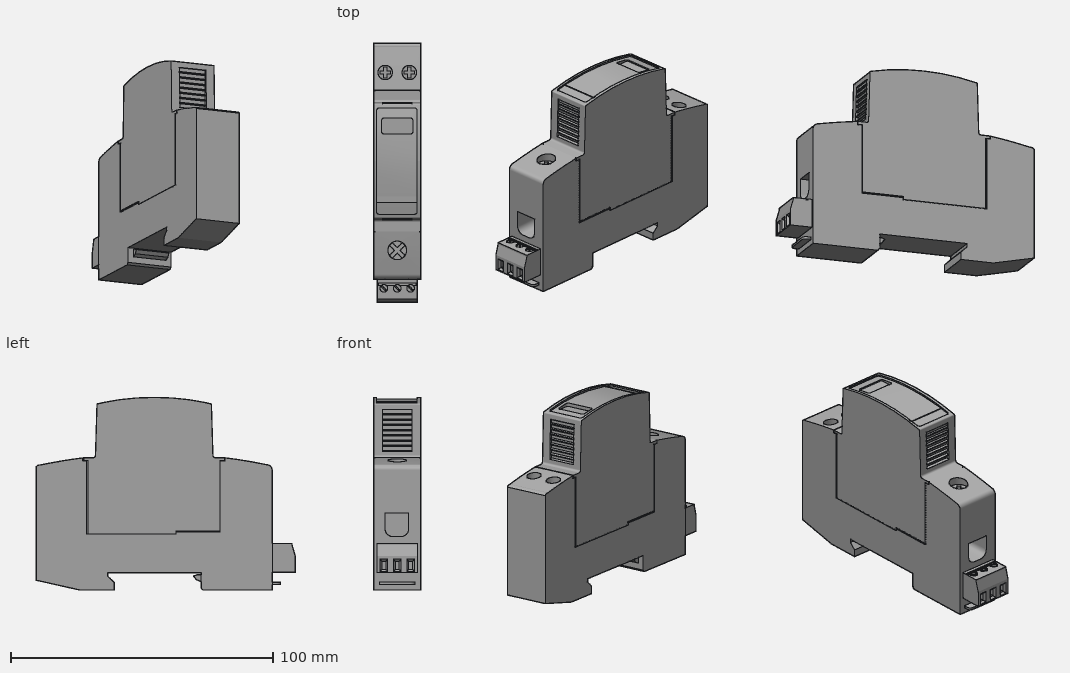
import cadquery as cq
import math

width = 18.0
half_depth = 45.0
total_height = 73.51

shoulder_radius = 215.0
shoulder_inner_y = 26.9
shoulder_inner_z = 50.5
front_edge_radius = 2.1
rear_edge_depth = 1.6
rear_edge_z = 47.05
rear_edge_mid = (44.36, 47.6)

cutter_overrun = 1.0

tower_foot_y = 22.45
tower_top_y = 21.85
tower_edge_z = 71.0
tower_foot_fillet = 0.9
tower_edge_fillet = 0.6
crown_radius = 100.0

rail_front_y = -17.85
rail_rear_y = 17.65
rail_slot_height = 6.6
rail_lip_y = 15.2
rail_lip_z = (3.0, 5.25)
rail_chamfer = 0.8
rear_slope_start_y = 28.3
rear_slope_height = 3.75

seam_depth = 0.5
hairline = 0.06
rear_gap = 0.45
bottom_gap = 0.4
flange_gap = 0.3
flange_z = 49.35
cartridge_front_y = -25.0
cartridge_rear_y = 25.3
cartridge_bottom_z = 21.4
step_y = -8.3
step_z = 22.6

label_width = 15.5
label_offset_x = -0.15
label_half_length = 20.25
label_corner = 1.0
label_depth = 0.6
window_size = (11.9, 6.0)
window_y = 13.4
window_corner = 0.8
window_floor_z = 71.0
ramp_start_y = -13.6
ramp_end_y = -15.8
ramp_height = 0.25

vent_count = 8
vent_width = 11.1
vent_height = 1.8
vent_sill_rise = 0.35
vent_pitch = 2.01
vent_bottom_z = 52.9
vent_depth = 0.6

front_screw_y = -34.0
front_screw_diameter = 7.1
front_screw_depth = 2.5
front_cross_width = 1.5
front_cross_length = 6.9
rear_screw_y = 33.8
rear_screw_x = 4.6
rear_screw_diameter = 5.5
rear_screw_depth = 6.0
rear_cross_width = 1.2
rear_cross_length = 4.1
cross_depth = 1.0

entry_width = 9.0
entry_height = 9.05
entry_bottom_z = 20.4
entry_corner = 3.0
entry_depth = 12.0
entry_offset_x = -0.15

plug_width = 15.3
plug_bottom_z = 6.75
plug_top_z = 17.85
plug_tip_y = -53.8
plug_slope_top = (-52.6, 17.1)
plug_slope_bottom_z = 13.0
pole_pitch = 5.1
plug_groove_y = (-47.3, -46.4)
plug_groove_length = 14.4
plug_groove_depth = 0.3
plug_screw_y = -48.45
plug_screw_diameter = 2.9
plug_screw_depth = 0.5
plug_slot_length = 2.4
plug_slot_width = 0.5
plug_slot_depth = 0.4
funnel_outer = (2.8, 4.6)
funnel_inner = (1.5, 3.0)
funnel_centre_z = 9.5
funnel_depth = 0.9
funnel_drop = 0.1
wire_hole_depth = 3.0

latch_width = 13.6
latch_z = (2.15, 3.05)
latch_front_y = -48.15
latch_corner = 1.65
catch_tip = (-14.95, 5.4)
catch_root_z = (3.2, 5.95)
catch_bend = (-16.0, 4.0)
catch_top_y = -16.45


def circle_z(y, radius, top):
    """Height at y of a circle centred on Y = 0 whose apex is at `top`."""
    return top - radius + math.sqrt(radius**2 - y**2)


def block(size_x, y_range, z_range):
    """Box centred on X = 0."""
    return cq.Workplane("XY").box(
        size_x, y_range[1] - y_range[0], z_range[1] - z_range[0], centered=(True, False, False)
    ).translate((0, y_range[0], z_range[0]))


def extrude_x(outline, size_x):
    """Extrude a closed (Y, Z) outline symmetrically about X = 0."""
    return outline.extrude(size_x / 2, both=True)


shoulder_top = shoulder_inner_z + shoulder_radius - math.sqrt(shoulder_radius**2 - shoulder_inner_y**2)


def shoulder_z(y):
    return circle_z(y, shoulder_radius, shoulder_top)


def housing():
    """Base, shoulders and tower as one side outline extruded over the width."""
    shoulder_mid_y = (half_depth + shoulder_inner_y) / 2
    rear_top_y = half_depth - rear_edge_depth
    crown_mid_y = tower_top_y / 2
    outline = (
        cq.Workplane("YZ")
        .moveTo(-half_depth, 0)
        .lineTo(-half_depth, shoulder_z(half_depth))
        .threePointArc(
            (-shoulder_mid_y, shoulder_z(shoulder_mid_y)), (-shoulder_inner_y, shoulder_inner_z)
        )
        .lineTo(-tower_foot_y, shoulder_inner_z)
        .lineTo(-tower_top_y, tower_edge_z)
        .threePointArc(
            (-crown_mid_y, circle_z(crown_mid_y, crown_radius, total_height)),
            (0, total_height),
        )
        .threePointArc(
            (crown_mid_y, circle_z(crown_mid_y, crown_radius, total_height)),
            (tower_top_y, tower_edge_z),
        )
        .lineTo(tower_foot_y, shoulder_inner_z)
        .lineTo(shoulder_inner_y, shoulder_inner_z)
        .threePointArc(
            (shoulder_mid_y, shoulder_z(shoulder_mid_y)), (rear_top_y, shoulder_z(rear_top_y))
        )
        .threePointArc(rear_edge_mid, (half_depth, rear_edge_z))
        .lineTo(half_depth, rear_slope_height)
        .lineTo(rear_slope_start_y, 0)
        .lineTo(rail_lip_y, 0)
        .lineTo(rail_lip_y, rail_lip_z[0])
        .lineTo(rail_rear_y, rail_lip_z[1])
        .lineTo(rail_rear_y, rail_slot_height)
        .lineTo(rail_front_y, rail_slot_height)
        .lineTo(rail_front_y, rail_chamfer)
        .lineTo(rail_front_y - rail_chamfer, 0)
        .close()
    )
    body = extrude_x(outline, width)

    def edges_at(y, z, reach=0.2):
        return cq.selectors.BoxSelector((-reach, y - reach, z - reach), (reach, y + reach, z + reach))

    body = body.edges(edges_at(-half_depth, shoulder_z(half_depth))).fillet(front_edge_radius)
    for side in (-1, 1):
        body = body.edges(edges_at(side * tower_foot_y, shoulder_inner_z)).fillet(tower_foot_fillet)
        body = body.edges(edges_at(side * tower_top_y, tower_edge_z)).fillet(tower_edge_fillet)
    return body


def seam_cutter():
    """Gap between the housing pocket and the cartridge on both side faces."""
    above = shoulder_inner_z + cutter_overrun
    cartridge = [
        (-shoulder_inner_y + hairline, above),
        (-shoulder_inner_y + hairline, flange_z),
        (cartridge_front_y, flange_z),
        (cartridge_front_y, step_z),
        (step_y, step_z),
        (step_y, cartridge_bottom_z),
        (cartridge_rear_y, cartridge_bottom_z),
        (cartridge_rear_y, flange_z),
        (shoulder_inner_y, flange_z),
        (shoulder_inner_y, above),
    ]
    pocket = [
        (-shoulder_inner_y, above),
        (-shoulder_inner_y, flange_z - hairline),
        (cartridge_front_y - hairline, flange_z - hairline),
        (cartridge_front_y - hairline, step_z - bottom_gap),
        (step_y - hairline, step_z - bottom_gap),
        (step_y - hairline, cartridge_bottom_z - hairline),
        (cartridge_rear_y + rear_gap, cartridge_bottom_z - hairline),
        (cartridge_rear_y + rear_gap, flange_z - hairline),
        (shoulder_inner_y + flange_gap, flange_z - hairline),
        (shoulder_inner_y + flange_gap, above),
    ]
    gap = extrude_x(cq.Workplane("YZ").polyline(cartridge + pocket[::-1]).close(), width)
    core = block(width - 2 * seam_depth, (-half_depth, half_depth), (0, above))
    flange_slot = block(width, (shoulder_inner_y, shoulder_inner_y + flange_gap), (flange_z, above))
    return gap.cut(core).union(flange_slot)


def crown_prism(lowered, size_x, y_range):
    """Everything above the crown surface lowered by `lowered`, over a Y range."""
    radius = crown_radius - lowered
    top = total_height - lowered
    first, last = y_range
    mid = (first + last) / 2
    outline = (
        cq.Workplane("YZ")
        .moveTo(first, total_height + cutter_overrun)
        .lineTo(first, circle_z(first, radius, top))
        .threePointArc((mid, circle_z(mid, radius, top)), (last, circle_z(last, radius, top)))
        .lineTo(last, total_height + cutter_overrun)
        .close()
    )
    return extrude_x(outline, size_x)


def label_cutter():
    """Rounded label recess following the crown, with a flat-floored window and a low ramp."""

    def rounded_column(size_x, size_y, centre_y, corner, bottom):
        column = cq.Workplane("XY", origin=(0, centre_y, bottom)).rect(size_x, size_y)
        return column.extrude(total_height + cutter_overrun - bottom).edges("|Z").fillet(corner)

    panel = crown_prism(label_depth, label_width, (-label_half_length, label_half_length))
    below_rim = tower_edge_z - 2 * cutter_overrun
    panel = panel.intersect(
        rounded_column(label_width, 2 * label_half_length, 0, label_corner, below_rim)
    )

    def floor_z(y):
        return circle_z(y, crown_radius - label_depth, total_height - label_depth)

    ramp = cq.Workplane("YZ").polyline([
        (ramp_start_y, floor_z(ramp_start_y)),
        (ramp_end_y, floor_z(ramp_end_y) + ramp_height),
        (ramp_end_y, floor_z(ramp_end_y) - ramp_height),
    ]).close()
    panel = panel.cut(extrude_x(ramp, label_width))

    window = rounded_column(*window_size, window_y, window_corner, window_floor_z)
    return panel.translate((label_offset_x, 0, 0)).union(window)


def vent_cutter():
    """Slots with vertical floors and sloped sills in the front and rear tower walls."""
    floor_y = tower_top_y - vent_depth
    mouth_y = tower_foot_y
    slots = cq.Workplane("XY")
    for side in (-1, 1):
        for i in range(vent_count):
            bottom = vent_bottom_z + i * vent_pitch
            outline = cq.Workplane("YZ").polyline([
                (side * mouth_y, bottom),
                (side * floor_y, bottom + vent_sill_rise),
                (side * floor_y, bottom + vent_height),
                (side * mouth_y, bottom + vent_height),
            ]).close()
            slots = slots.union(extrude_x(outline, vent_width))
    return slots


def screw_cutter(x, y, diameter, depth, cross, angle):
    """Round hole down to a flat screw head with a cross recess of (length, width)."""
    head_z = shoulder_z(y) - depth
    hole = cq.Workplane("XY", origin=(x, y, head_z)).circle(diameter / 2).extrude(depth + cutter_overrun)
    for turn in (angle, angle + 90):
        bar = cq.Workplane("XY").rect(*cross).extrude(-cross_depth).rotate((0, 0, 0), (0, 0, 1), turn)
        hole = hole.union(bar.translate((x, y, head_z)))
    return hole


def cable_entry_cutter():
    """Square-topped opening with rounded lower corners, running in from the front face."""
    entry = block(
        entry_width,
        (-half_depth, -half_depth + entry_depth),
        (entry_bottom_z, entry_bottom_z + entry_height),
    )
    entry = entry.edges("|Y and (not >Z)").fillet(entry_corner)
    return entry.translate((entry_offset_x, 0, 0))


def terminal_plug():
    """Plug body with groove, clamping screws and funnel-shaped wire openings."""
    outline = cq.Workplane("YZ").polyline([
        (-half_depth, plug_bottom_z),
        (plug_tip_y, plug_bottom_z),
        (plug_tip_y, plug_slope_bottom_z),
        plug_slope_top,
        (plug_slope_top[0], plug_top_z),
        (-half_depth, plug_top_z),
    ]).close()
    plug = extrude_x(outline, plug_width)

    plug = plug.cut(block(plug_groove_length, plug_groove_y, (plug_top_z - plug_groove_depth, plug_top_z)))

    for pole in (-1, 0, 1):
        x = pole * pole_pitch
        head = cq.Workplane("XY", origin=(x, plug_screw_y, plug_top_z - plug_screw_depth))
        plug = plug.cut(head.circle(plug_screw_diameter / 2).extrude(plug_screw_depth))
        slot = head.transformed(rotate=(0, 0, -45)).rect(plug_slot_length, plug_slot_width)
        plug = plug.cut(slot.extrude(-plug_slot_depth))

        mouth = cq.Workplane("XZ", origin=(x, plug_tip_y, funnel_centre_z)).rect(*funnel_outer)
        throat = mouth.workplane(offset=-funnel_depth).center(0, -funnel_drop).rect(*funnel_inner)
        plug = plug.cut(throat.loft(combine=True))
        throat_z = funnel_centre_z - funnel_drop
        wire_hole = cq.Workplane("XZ", origin=(x, plug_tip_y + funnel_depth, throat_z))
        plug = plug.cut(wire_hole.rect(*funnel_inner).extrude(-wire_hole_depth))
    return plug


def latch():
    """Pull tab with rounded corners and the catch that reaches under the rail."""
    tab = block(latch_width, (latch_front_y, rail_front_y), latch_z)
    tab = tab.edges("|Z and <Y").fillet(latch_corner)
    catch = cq.Workplane("YZ").polyline([
        (rail_front_y, catch_root_z[0]),
        catch_bend,
        catch_tip,
        (catch_top_y, catch_root_z[1]),
        (rail_front_y, catch_root_z[1]),
    ]).close()
    return tab.union(extrude_x(catch, latch_width))


result = housing()
result = result.cut(seam_cutter())
result = result.cut(label_cutter())
result = result.cut(vent_cutter())
result = result.cut(cable_entry_cutter())
front_cross = (front_cross_length, front_cross_width)
result = result.cut(
    screw_cutter(0, front_screw_y, front_screw_diameter, front_screw_depth, front_cross, 45)
)
rear_cross = (rear_cross_length, rear_cross_width)
for screw_x in (-rear_screw_x, rear_screw_x):
    result = result.cut(
        screw_cutter(screw_x, rear_screw_y, rear_screw_diameter, rear_screw_depth, rear_cross, 0)
    )
result = result.union(terminal_plug()).union(latch())